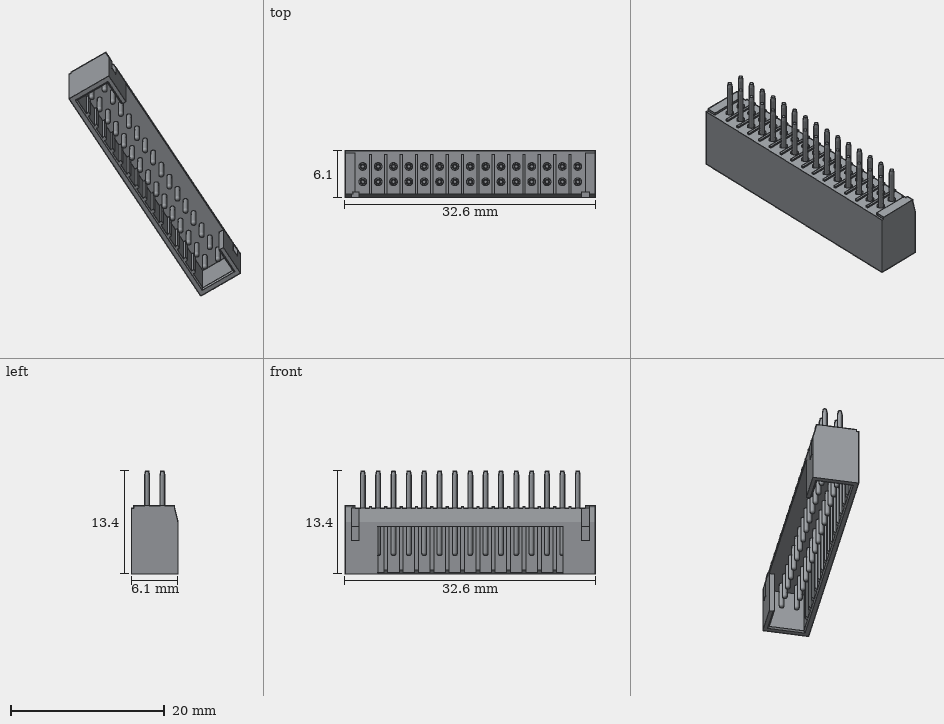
import cadquery as cq
import math

length = 32.6
width = 6.1
top_height = 8.6
front_bevel_depth = 0.45
front_bevel_height = 1.85

pin_columns = 15
pin_rows = 2
pitch = 2.0
pin_diameter = 0.65
pin_top = 13.4
pin_bottom = 2.4
pin_tip_diameter = 0.45
pin_taper_height = 0.55
pin_recess_diameter = 1.0
pin_recess_depth = 0.5

end_pad_length = 1.3
end_pad_height = 0.3
end_pad_setback = 0.3
pad_notch_depth = 0.75
left_pad_full_length = 1.0
right_pad_full_length = 0.8
top_rib_width = 0.3
top_rib_height = 0.2
top_rib_setback = 0.5

wall = 0.8
front_wall = 0.7
cavity_height = 6.2
mouth_chamfer = 0.5
cavity_rib_width = 0.5
cavity_rib_depth = 0.3

window_length = 24.1
slot_width = 1.0
slot_end_distance = 0.8
slot_floor = 4.4

front = -width / 2
back = width / 2
top_front_edge = front + front_bevel_depth
cavity_length = length - 2 * wall
cavity_front = front + front_wall
cavity_back = back - wall
cavity_width = cavity_back - cavity_front
rib_xs = [(i - (pin_columns - 2) / 2) * pitch for i in range(pin_columns - 1)]
pin_points = [
    ((column - (pin_columns - 1) / 2) * pitch, (row - (pin_rows - 1) / 2) * pitch)
    for column in range(pin_columns)
    for row in range(pin_rows)
]


def block(x_min, x_max, y_min, y_max, z_min, z_max):
    """Axis-aligned box given by its limits."""
    box = cq.Workplane("XY").box(x_max - x_min, y_max - y_min, z_max - z_min, centered=False)
    return box.translate((x_min, y_min, z_min))


def make_shell():
    """Solid housing with the long bevel along its top front edge."""
    profile = [
        (front, 0),
        (back, 0),
        (back, top_height),
        (top_front_edge, top_height),
        (front, top_height - front_bevel_height),
    ]
    return cq.Workplane("YZ").polyline(profile).close().extrude(length / 2, both=True)


def make_end_pad(x_end, inward, full_length):
    """Raised L-shaped pad at one end; its inner front corner is notched above the slot."""
    x_inner = x_end + inward * end_pad_length
    x_notch = x_end + inward * full_length
    y_back = back - end_pad_setback
    y_notch = front + pad_notch_depth
    outline = [
        (x_end, top_front_edge),
        (x_notch, top_front_edge),
        (x_notch, y_notch),
        (x_inner, y_notch),
        (x_inner, y_back),
        (x_end, y_back),
    ]
    return (
        cq.Workplane("XY", origin=(0, 0, top_height))
        .polyline(outline)
        .close()
        .extrude(end_pad_height)
    )


def make_top_ribs():
    """Low ribs on the top face, one between each pair of pin columns."""
    rib_length = back - top_rib_setback - top_front_edge
    return (
        cq.Workplane("XY", origin=(0, top_front_edge + rib_length / 2, top_height))
        .pushPoints([(x, 0) for x in rib_xs])
        .rect(top_rib_width, rib_length)
        .extrude(top_rib_height)
    )


def make_cavity():
    """Volume removed for the cavity, its flared mouth and the ribs left on the back wall."""
    cavity = block(
        -cavity_length / 2, cavity_length / 2, cavity_front, cavity_back, 0, cavity_height
    )
    for x in rib_xs:
        rib = block(
            x - cavity_rib_width / 2, x + cavity_rib_width / 2,
            cavity_back - cavity_rib_depth, cavity_back,
            0, cavity_height,
        )
        cavity = cavity.cut(rib)
    mouth_length = cavity_length - 2 * cavity_rib_depth
    mouth_width = cavity_width - 2 * cavity_rib_depth
    mouth = (
        cq.Workplane("XY", origin=(0, (cavity_front + cavity_back) / 2, 0))
        .rect(mouth_length + 2 * mouth_chamfer, mouth_width + 2 * mouth_chamfer)
        .workplane(offset=mouth_chamfer)
        .rect(mouth_length, mouth_width)
        .loft(ruled=True)
    )
    return cavity.union(mouth)


def make_window():
    """Wide opening through the front wall."""
    return block(
        -window_length / 2, window_length / 2, front, cavity_front, 0, cavity_height
    )


def make_slots():
    """Narrow slots cut down into the front wall near both ends."""
    slots = cq.Workplane("XY")
    for x_min in (-length / 2 + slot_end_distance, length / 2 - slot_end_distance - slot_width):
        slot = block(
            x_min, x_min + slot_width,
            front, cavity_front,
            slot_floor, top_height,
        )
        slots = slots.add(slot)
    return slots.combine()


def make_pin_recesses():
    """Shallow round recesses in the top face, one around each pin."""
    return (
        cq.Workplane("XY", origin=(0, 0, top_height - pin_recess_depth))
        .pushPoints(pin_points)
        .circle(pin_recess_diameter / 2)
        .extrude(pin_recess_depth)
    )


def make_pin():
    """Round pin with a tapered top and a domed bottom, on the Z axis."""
    radius = pin_diameter / 2
    dome_height = radius * (1 - math.sqrt(0.5))
    dome_offset = radius * math.sqrt(0.5)
    profile = (
        cq.Workplane("XZ", origin=(0, 0, pin_bottom))
        .threePointArc((dome_offset, dome_height), (radius, radius))
        .lineTo(radius, pin_top - pin_taper_height - pin_bottom)
        .lineTo(pin_tip_diameter / 2, pin_top - pin_bottom)
        .lineTo(0, pin_top - pin_bottom)
        .close()
    )
    return profile.revolve(360, (0, 0, 0), (0, 1, 0))


left_pad = make_end_pad(-length / 2, 1, left_pad_full_length)
right_pad = make_end_pad(length / 2, -1, right_pad_full_length)
housing = make_shell().union(left_pad).union(right_pad).union(make_top_ribs())
housing = housing.cut(make_cavity()).cut(make_window()).cut(make_slots()).cut(make_pin_recesses())

pin = make_pin()
result = housing
for x, y in pin_points:
    result = result.union(pin.translate((x, y, 0)))